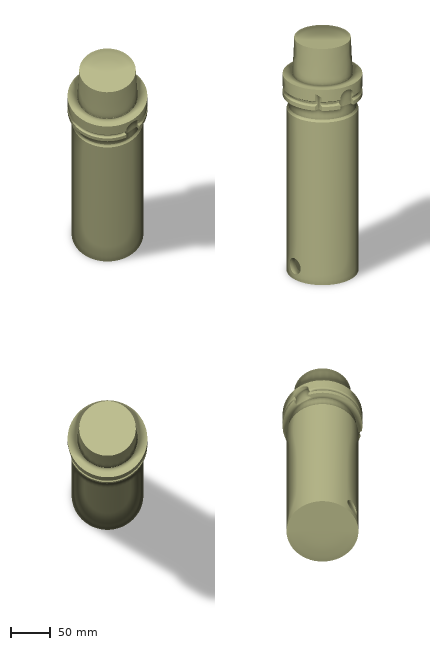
import cadquery as cq

total_height = 323.0
shank_height = 50.0
collar_height = 1.5
flange_thickness = 29.0
flange_top = total_height - shank_height
flange_bottom = flange_top - flange_thickness
shoulder_bottom = 225.5
shoulder_top = 228.5

shank_top_radius = 71.0 / 2
shank_base_radius = 75.5 / 2
collar_radius = 76.0 / 2
flange_radius = 100.0 / 2
neck_radius = 85.0 / 2
body_radius = 90.0 / 2

groove_radius = 46.8
groove_center = 253.0
groove_floor_width = 3.0
groove_mouth_width = 7.0

slot_width = 21.0
slot_floor = 44.0
slot_arc_center = flange_top - 15.2

notch_floor = 32.3
notch_wall = 31.5
notch_shoulder_z = flange_top - 11.0
notch_slope = 0.8

screw_diameter = 21.5
screw_height = 18.5
screw_depth = 9.7


def turned_body():
    groove_floor_half = groove_floor_width / 2
    groove_mouth_half = groove_mouth_width / 2
    profile = [
        (0, 0),
        (body_radius, 0),
        (body_radius, shoulder_bottom),
        (neck_radius, shoulder_top),
        (neck_radius, flange_bottom),
        (flange_radius, flange_bottom),
        (flange_radius, groove_center - groove_mouth_half),
        (groove_radius, groove_center - groove_floor_half),
        (groove_radius, groove_center + groove_floor_half),
        (flange_radius, groove_center + groove_mouth_half),
        (flange_radius, flange_top),
        (collar_radius, flange_top),
        (collar_radius, flange_top + collar_height),
        (shank_base_radius, flange_top + collar_height),
        (shank_top_radius, total_height),
        (0, total_height),
    ]
    return cq.Workplane("XZ").polyline(profile).close().revolve(360, (0, 0), (0, 1))


def drive_slot(side):
    """Cutter for the slot on the +X (side = 1) or -X (side = -1) side."""
    half_width = slot_width / 2
    return (
        cq.Workplane("YZ", origin=(side * slot_floor, 0, 0))
        .moveTo(-half_width, flange_bottom)
        .lineTo(half_width, flange_bottom)
        .lineTo(half_width, slot_arc_center)
        .threePointArc((0, slot_arc_center + half_width), (-half_width, slot_arc_center))
        .close()
        .extrude(side * flange_radius)
    )


def orientation_notch():
    """Cutter with a flat floor facing -X, open to +Y, with a sloping top."""
    slope_rise = notch_slope * (flange_radius - notch_wall)
    return (
        cq.Workplane("YZ", origin=(-notch_floor, 0, 0))
        .moveTo(notch_wall, flange_bottom)
        .lineTo(flange_radius, flange_bottom)
        .lineTo(flange_radius, notch_shoulder_z + slope_rise)
        .lineTo(notch_wall, notch_shoulder_z)
        .close()
        .extrude(-flange_radius)
    )


def screw_hole():
    return (
        cq.Workplane("XZ", origin=(0, body_radius, screw_height))
        .circle(screw_diameter / 2)
        .extrude(screw_depth)
    )


result = turned_body()
for slot_side in (-1, 1):
    result = result.cut(drive_slot(slot_side))
result = result.cut(orientation_notch()).cut(screw_hole())